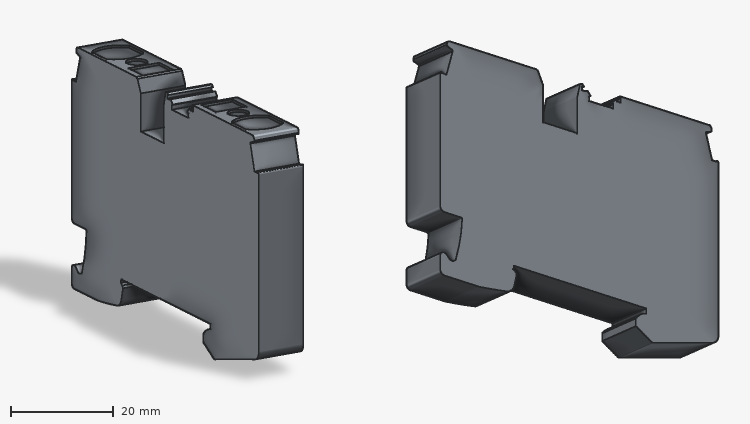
import cadquery as cq
import math

length = 71.3
thickness = 10.1
height = 49.6
half_length = length / 2
margin = 1.4

shoulder_z = 42.4
shoulder_width = 1.65
ridge_top_z = 42.65
ridge_radius = 0.4
neck_inset = 3.2
neck_z = 48.05
neck_round = 0.35
lip_inset = 1.7
lip_bottom_z = 48.35
lip_bottom_radius = 0.35
lip_face_lean = 0.15
lip_face_top_z = 49.2
lip_top_inset = 2.35

slot_left = -9.3
slot_right = -0.5
slot_floor_z = 38.9
slot_lead_in_z = 46.7
slot_left_lead_in = 1.5
slot_right_lead_in = 0.65
slot_left_edge_drop = 0.3
slot_left_edge_run = 0.2
slot_crest_radius = 0.3

groove_center_x = 5.6
groove_floor_z = 46.55
groove_floor_half = 3.1
catch_z = 47.5
catch_tip_half = 2.8
catch_tip_z = 47.7
catch_top_z = 48.55
catch_top_inner_half = 3.5
catch_top_outer_half = 3.8
undercut_z = 48.35
undercut_start_half = 4.0
undercut_half = 4.9
hook_tip_half = 4.4
hook_tip_z = 49.2
hook_top_half = 4.8

recess_depth = 0.5
clamp_center_x = 26.6
clamp_width = 9.05
clamp_flat_length = 5.4
clamp_height = 8.5
test_hole_center_x = 19.3
test_hole_diameter = 4.2
window_center_x = 13.9
window_length = 5.5
window_height = 7.0

rail_z = 6.8
rail_left = -16.75
rail_right = 17.1
rail_wall_z = 5.7

gap_top_z = 13.3
gap_depth = 5.6
gap_inner_round = 0.35
gap_wall_bow = 0.3
corner_radius = 1.1
hook_radius = 1.0
hook_center_z = 3.85
trough_radius = 1.1
trough_center_z = 4.7
spring_foot_flat_end = -25.75
ramp_end_x = -18.05
ramp_end_z = 1.0
ramp_bow = 0.1
toe_tip_x = -16.05
toe_tip_z = 5.1
heel_top_x = -16.7
heel_top_z = 2.65
heel_bow = 0.3
toe_bevel_width = 0.3
toe_bevel_height = 0.5
toe_notch_depth = 0.15
toe_notch_z = 6.0

foot_nose_x = 14.5
foot_nose_bottom_z = 2.35
foot_nose_top_z = 4.0
foot_nose_bow = 0.3
foot_tip_left = 18.4
foot_tip_right = 19.25
foot_tip_rise = 0.11
base_slope = math.radians(15)
end_corner_tangent = 1.5


def profile(x, z):
    """Start a profile in the XZ plane."""
    return cq.Workplane("XZ").moveTo(x, z)


def prism(outline):
    """Close a profile and extrude it through the full thickness."""
    return outline.close().extrude(thickness / 2, both=True)


def arc_point(center_x, center_z, radius, degrees):
    """Point on a circle in the XZ plane, measured from +X towards +Z."""
    angle = math.radians(degrees)
    return (center_x + radius * math.cos(angle), center_z + radius * math.sin(angle))


def shoulder_cut():
    """Waste beside the -X shoulder; its inner side forms the neck and lip."""
    side = -half_length
    lip_x = side + lip_inset
    neck_x = side + neck_inset
    lip_top_x = side + lip_top_inset
    ridge_center = (side + ridge_radius, ridge_top_z - ridge_radius)
    lip_center = (lip_x + lip_bottom_radius, lip_bottom_z + lip_bottom_radius)
    return prism(
        profile(side - margin, ridge_center[1])
        .lineTo(side, ridge_center[1])
        .threePointArc(
            arc_point(*ridge_center, ridge_radius, 135),
            arc_point(*ridge_center, ridge_radius, 90),
        )
        .lineTo(side + ridge_radius, shoulder_z)
        .lineTo(side + shoulder_width, shoulder_z)
        .lineTo(neck_x, neck_z - neck_round)
        .radiusArc((neck_x - neck_round, neck_z), -neck_round)
        .lineTo(lip_center[0], lip_bottom_z)
        .threePointArc(
            arc_point(*lip_center, lip_bottom_radius, 225),
            arc_point(*lip_center, lip_bottom_radius, 180),
        )
        .lineTo(lip_x + lip_face_lean, lip_face_top_z)
        .radiusArc((lip_top_x, height), lip_top_inset - lip_inset)
        .lineTo(lip_top_x, height + margin)
        .lineTo(side - margin, height + margin)
    )


def slot_cut():
    """Deep rectangular slot with sloped lead-in walls."""
    right_top = slot_right + slot_right_lead_in
    left_top = slot_left - slot_left_lead_in
    return prism(
        profile(slot_left, slot_floor_z)
        .lineTo(slot_right, slot_floor_z)
        .lineTo(slot_right, slot_lead_in_z)
        .lineTo(right_top, height - slot_crest_radius)
        .radiusArc((right_top + slot_crest_radius, height), slot_crest_radius)
        .lineTo(right_top + slot_crest_radius, height + margin)
        .lineTo(left_top - slot_left_edge_run, height + margin)
        .lineTo(left_top - slot_left_edge_run, height)
        .lineTo(left_top + slot_left_edge_run, height - slot_left_edge_drop)
        .lineTo(slot_left, slot_lead_in_z)
    )


def groove_cut():
    """Marker groove, symmetric about its own centre line."""
    wall = [
        (groove_floor_half, groove_floor_z),
        (groove_floor_half, catch_z),
        (catch_tip_half, catch_tip_z),
        (catch_top_inner_half, catch_top_z),
        (catch_top_outer_half, catch_top_z),
        (undercut_start_half, undercut_z),
        (undercut_half, undercut_z),
        (undercut_half, hook_tip_z),
        (hook_tip_half, hook_tip_z),
        (hook_top_half, height),
        (hook_top_half, height + margin),
    ]
    right = [(groove_center_x + x, z) for x, z in wall]
    left = [(groove_center_x - x, z) for x, z in reversed(wall)]
    return prism(cq.Workplane("XZ").polyline(right + left))


def side_gap_cut():
    """Gap above the spring foot, shaping its upturned hook."""
    side = -half_length
    wall_x = side + gap_depth
    hook_center = (side + hook_radius, hook_center_z)
    tangent_offset = (hook_radius + trough_radius) * math.sqrt(2)
    trough_x = hook_center[0] + tangent_offset - (trough_center_z - hook_center_z)
    trough_center = (trough_x, trough_center_z)
    return prism(
        profile(side - margin, gap_top_z)
        .lineTo(wall_x - gap_inner_round, gap_top_z)
        .radiusArc((wall_x, gap_top_z - gap_inner_round), gap_inner_round)
        .sagittaArc(arc_point(*trough_center, trough_radius, 0), gap_wall_bow)
        .threePointArc(
            arc_point(*trough_center, trough_radius, 270),
            arc_point(*trough_center, trough_radius, 225),
        )
        .lineTo(*arc_point(*hook_center, hook_radius, 45))
        .threePointArc(
            arc_point(*hook_center, hook_radius, 90),
            arc_point(*hook_center, hook_radius, 180),
        )
        .lineTo(side - margin, hook_center_z)
    )


def underside_cut():
    """Rail channel together with the inner contours of both feet."""
    return prism(
        profile(spring_foot_flat_end, -margin)
        .lineTo(spring_foot_flat_end, 0)
        .sagittaArc((ramp_end_x, ramp_end_z), -ramp_bow)
        .sagittaArc((heel_top_x, heel_top_z), -heel_bow)
        .lineTo(toe_tip_x, toe_tip_z)
        .lineTo(toe_tip_x - toe_bevel_width, toe_tip_z + toe_bevel_height)
        .lineTo(rail_left - toe_notch_depth, toe_notch_z)
        .lineTo(rail_left, rail_z)
        .lineTo(rail_right, rail_z)
        .lineTo(rail_right, rail_wall_z)
        .sagittaArc((foot_nose_x, foot_nose_top_z), -foot_nose_bow)
        .lineTo(foot_nose_x, foot_nose_bottom_z)
        .lineTo(foot_tip_left, foot_tip_rise)
        .lineTo(foot_tip_left, -margin)
    )


def sloped_base_cut():
    """Rising underside of the fixed foot and the rounded +X corner."""
    side = half_length
    sharp_z = foot_tip_rise + (side - foot_tip_right) * math.tan(base_slope)
    arc_start = (
        side - end_corner_tangent * math.cos(base_slope),
        sharp_z - end_corner_tangent * math.sin(base_slope),
    )
    arc_end = (side, sharp_z + end_corner_tangent)
    half_corner_turn = (math.pi / 2 - base_slope) / 2
    end_corner_radius = end_corner_tangent / math.tan(half_corner_turn)
    return prism(
        profile(foot_tip_left, -margin)
        .lineTo(foot_tip_left, foot_tip_rise)
        .threePointArc(
            ((foot_tip_left + foot_tip_right) / 2, 0),
            (foot_tip_right, foot_tip_rise),
        )
        .lineTo(*arc_start)
        .radiusArc(arc_end, -end_corner_radius)
        .lineTo(side + margin, arc_end[1])
        .lineTo(side + margin, -margin)
    )


def top_recesses():
    """Clamp opening, test hole and window at the +X end."""
    floor = cq.Workplane("XY", origin=(0, 0, height - recess_depth))
    half_flat = clamp_flat_length / 2
    half_width = clamp_width / 2
    half_height = clamp_height / 2
    clamp = (
        floor.center(clamp_center_x, 0)
        .moveTo(-half_flat, -half_height)
        .lineTo(half_flat, -half_height)
        .threePointArc((half_width, 0), (half_flat, half_height))
        .lineTo(-half_flat, half_height)
        .threePointArc((-half_width, 0), (-half_flat, -half_height))
        .close()
        .extrude(recess_depth)
    )
    test_hole = floor.center(test_hole_center_x, 0).circle(test_hole_diameter / 2).extrude(recess_depth)
    window = floor.center(window_center_x, 0).rect(window_length, window_height).extrude(recess_depth)
    return [clamp, test_hole, window]


block = cq.Workplane("XY").box(length, thickness, height, centered=(True, True, False))

cuts = [slot_cut(), groove_cut(), side_gap_cut(), underside_cut(), sloped_base_cut()]
for feature in [shoulder_cut()] + top_recesses():
    cuts += [feature, feature.mirror("YZ")]

result = block
for cut in cuts:
    result = result.cut(cut)

for edge_z in (gap_top_z, 0):
    edge = cq.selectors.NearestToPointSelector((-half_length, 0, edge_z))
    result = result.edges("|Y").edges(edge).fillet(corner_radius)